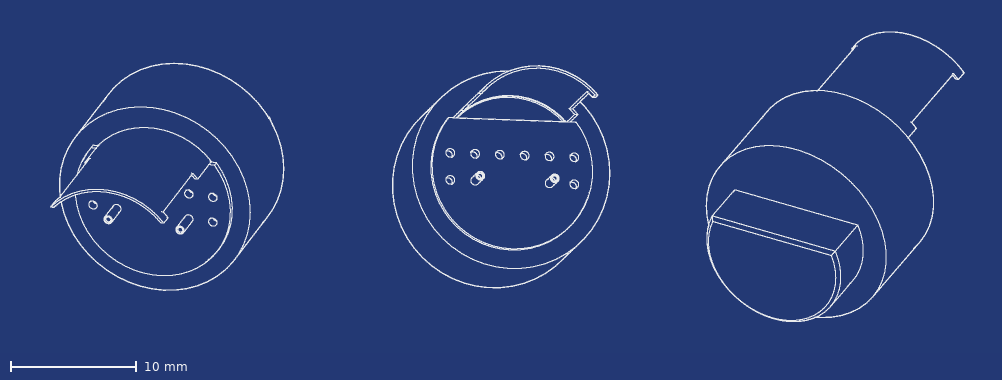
import cadquery as cq


body_diameter = 16.0
body_radius = body_diameter / 2
body_length = 8.48

plug_radius = 5.95
plug_length = 4.32
plug_flat_height = 2.35
plug_chamfer = 0.3

insulator_radius = 6.5
insulator_thickness = 0.5
insulator_flat_height = 3.95

shroud_radius = 6.2
shroud_wall = 0.2
overall_length = 24.8
shroud_length = overall_length - body_length - plug_length
shroud_bottom_height = 4.0
notch_top_height = 4.45
notch_start = 3.45
shroud_lip_length = 1.07

recess_radius = 5.95
recess_depth = 0.5

contact_pitch = 2.0
row_height = 1.1
contact_diameter = 0.7
hole_depth = 1.0
pin_reach = 2.7
pin_bore_diameter = 0.42
pin_bore_depth = 1.0
pin_countersink_diameter = 0.57
pin_countersink_angle = 90
top_row_columns = (-2.5, -1.5, -0.5, 0.5, 1.5, 2.5)
outer_columns = (-2.5, 2.5)
pin_columns = (-1.5, 1.5)


def cylinder(radius, y_start, y_end, x=0, z=0):
    """Cylinder along Y between two Y positions."""
    length = y_end - y_start
    return cq.Workplane("XZ", origin=(x, y_end, z)).circle(radius).extrude(length)


def slab(y_start, y_end, z_bottom, z_top):
    """Block wider than the part between two Y and two Z positions."""
    size = (2 * body_radius, y_end - y_start, z_top - z_bottom)
    return cq.Workplane().box(*size, centered=(True, False, False)).translate((0, y_start, z_bottom))


def make_plug():
    y_end = body_length + plug_length
    plug = cylinder(plug_radius, body_length, y_end)
    plug = plug.intersect(slab(body_length, y_end, -body_radius, plug_flat_height))
    return plug.faces(">Y").chamfer(plug_chamfer)


def make_insulator():
    disc = cylinder(insulator_radius, -insulator_thickness, 0)
    return disc.intersect(slab(-insulator_thickness, 0, -body_radius, insulator_flat_height))


def make_shroud():
    tube = cylinder(shroud_radius, -shroud_length, 0)
    tube = tube.cut(cylinder(shroud_radius - shroud_wall, -shroud_length, 0))
    shroud = tube.intersect(slab(-shroud_length, 0, shroud_bottom_height, body_radius))
    notch = slab(shroud_lip_length - shroud_length, -notch_start, shroud_bottom_height, notch_top_height)
    return shroud.cut(notch)


def make_recess():
    disc = cylinder(recess_radius, 0, recess_depth)
    return disc.intersect(slab(0, recess_depth, shroud_bottom_height, body_radius))


def make_contact_holes():
    y_end = hole_depth - insulator_thickness
    columns_in_rows = ((row_height, top_row_columns), (-row_height, outer_columns))
    holes = cq.Workplane()
    for z, columns in columns_in_rows:
        for column in columns:
            x = column * contact_pitch
            hole = cylinder(contact_diameter / 2, -insulator_thickness, y_end, x, z)
            holes = holes.add(hole)
    return holes.combine()


def make_pin(column):
    x = column * contact_pitch
    pin = cylinder(contact_diameter / 2, -pin_reach, 0, x, -row_height)
    tip = pin.faces("<Y").workplane(centerOption="CenterOfMass")
    return tip.cskHole(pin_bore_diameter, pin_countersink_diameter, pin_countersink_angle, pin_bore_depth)


result = cylinder(body_radius, 0, body_length)
result = result.union(make_plug()).union(make_insulator()).union(make_shroud())
result = result.cut(make_recess()).cut(make_contact_holes())
for pin_column in pin_columns:
    result = result.union(make_pin(pin_column))